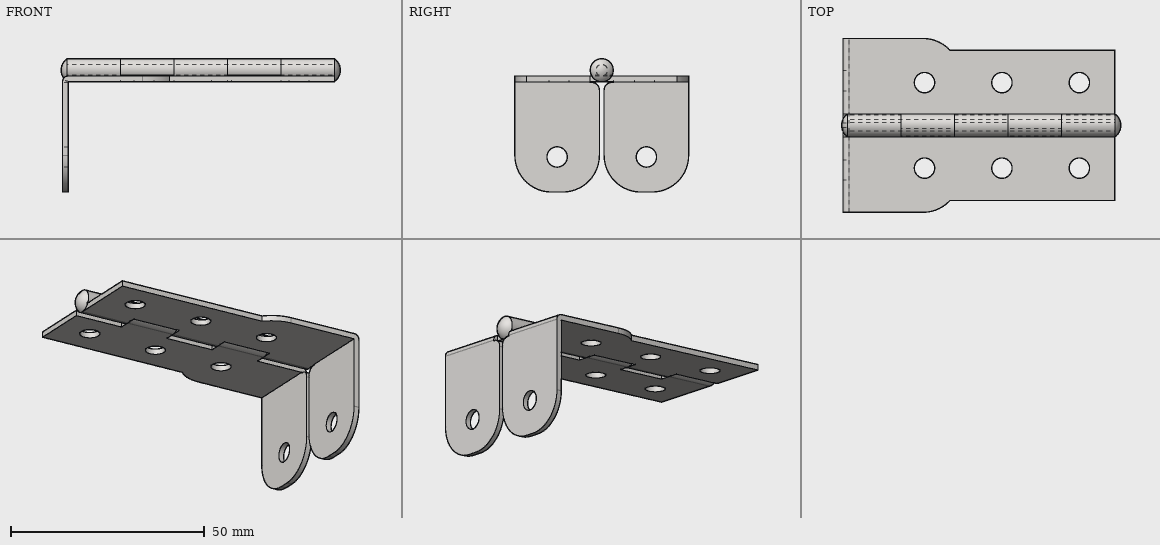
import cadquery as cq
import math

total_length = 72.2
total_width = 45.0
narrow_width = 38.9
total_height = 34.5

sheet = 1.5
barrel_diameter = 6.0
barrel_radius = barrel_diameter / 2
bore_radius = barrel_radius - sheet
curl_gap = 0.2
knuckle_count = 5

dome_height = 1.6

half_width = total_width / 2
narrow_half_width = narrow_width / 2
shoulder_start = -15.0
shoulder_radius = 9.4

hole_diameter = 5.2
hole_count = 3
hole_pitch = 20.0
first_hole_x = -14.65
leaf_hole_y = 11.05
tab_hole_height = 9.1

tab_outer_x = -35.7
tab_inner_y = 0.6
tab_corner_radius = 9.5
relief_depth = 0.15
relief_corner_radius = 2.0
bend_radius = sheet

barrel_end = total_length / 2 - dome_height
barrel_start = -barrel_end
knuckle_length = (barrel_end - barrel_start) / knuckle_count
tab_inner_x = tab_outer_x + sheet
tab_bottom = barrel_diameter - total_height
shoulder_drop = half_width - narrow_half_width


def box(x0, x1, y0, y1, z0, z1):
    """Box between two corners."""
    return cq.Workplane("XY").box(x1 - x0, y1 - y0, z1 - z0, centered=False).translate((x0, y0, z0))


def rod(x0, length, radius):
    """Cylinder along the hinge axis."""
    return cq.Workplane("YZ", origin=(x0, 0, barrel_radius)).circle(radius).extrude(length)


def knuckle_start(index):
    return barrel_start + index * knuckle_length


def flat_sheet():
    """Horizontal plate, from the hinge axis out to the stepped outer edge."""
    shoulder_turn = math.acos(1 - shoulder_drop / shoulder_radius)

    def shoulder_point(angle):
        return (
            shoulder_start + shoulder_radius * math.sin(angle),
            half_width - shoulder_radius * (1 - math.cos(angle)),
        )

    plate = (
        cq.Workplane("XY")
        .moveTo(tab_outer_x, 0)
        .lineTo(tab_outer_x, half_width)
        .lineTo(shoulder_start, half_width)
        .threePointArc(shoulder_point(shoulder_turn / 2), shoulder_point(shoulder_turn))
        .lineTo(barrel_end, narrow_half_width)
        .lineTo(barrel_end, 0)
        .close()
        .extrude(sheet)
    )
    hole_centres = [(first_hole_x + i * hole_pitch, leaf_hole_y) for i in range(hole_count)]
    holes = cq.Workplane("XY").pushPoints(hole_centres).circle(hole_diameter / 2).extrude(sheet)
    return plate.cut(holes)


def tab():
    """Vertical plate below the bend, with round lower corners and one screw hole."""
    plate = box(tab_outer_x, tab_inner_x, tab_inner_y, half_width, tab_bottom, 0)
    plate = plate.edges("|X and <Z").fillet(tab_corner_radius)
    plate = plate.cut(box(tab_outer_x, tab_inner_x, 0, barrel_radius, -relief_depth, 0))
    relief_corner = cq.selectors.NearestToPointSelector(
        ((tab_outer_x + tab_inner_x) / 2, tab_inner_y, -relief_depth)
    )
    plate = plate.edges("|X").edges(relief_corner).fillet(relief_corner_radius)
    hole = (
        cq.Workplane("YZ", origin=(tab_outer_x, 0, 0))
        .center((tab_inner_y + half_width) / 2, tab_bottom + tab_hole_height)
        .circle(hole_diameter / 2)
        .extrude(sheet)
    )
    return plate.cut(hole)


def leaf(own_knuckles):
    """Leaf on the +Y side of the axis, rolled into the knuckles with the given indices."""
    body = flat_sheet().union(tab())
    body = body.edges("|Y and <X and >Z").fillet(bend_radius)
    body = body.cut(box(tab_outer_x, barrel_start, 0, barrel_radius, 0, sheet))
    for index in range(knuckle_count):
        x0 = knuckle_start(index)
        x1 = x0 + knuckle_length
        if index in own_knuckles:
            body = body.union(rod(x0, knuckle_length, barrel_radius))
            body = body.cut(box(x0, x1, 0, barrel_radius, sheet, sheet + curl_gap))
        else:
            body = body.cut(box(x0, x1, 0, barrel_radius, 0, sheet))
    return body.cut(rod(barrel_start, barrel_end - barrel_start, bore_radius))


def hinge_pin():
    """Pin through the bore, with a domed head as wide as the barrel at each end."""
    tip = total_length / 2
    sphere_radius = (barrel_radius**2 + dome_height**2) / (2 * dome_height)
    half_angle = math.asin(barrel_radius / sphere_radius) / 2
    mid_x = tip - sphere_radius * (1 - math.cos(half_angle))
    mid_r = sphere_radius * math.sin(half_angle)
    return (
        cq.Workplane("XY")
        .moveTo(-tip, 0)
        .threePointArc((-mid_x, mid_r), (barrel_start, barrel_radius))
        .lineTo(barrel_start, bore_radius)
        .lineTo(barrel_end, bore_radius)
        .lineTo(barrel_end, barrel_radius)
        .threePointArc((mid_x, mid_r), (tip, 0))
        .close()
        .revolve(360, (0, 0, 0), (1, 0, 0))
        .translate((0, 0, barrel_radius))
    )


back_leaf = leaf(own_knuckles=(0, 2, 4))
front_leaf = leaf(own_knuckles=(1, 3)).mirror("XZ")
pin = hinge_pin()

result = cq.Compound.makeCompound([back_leaf.val(), front_leaf.val(), pin.val()])